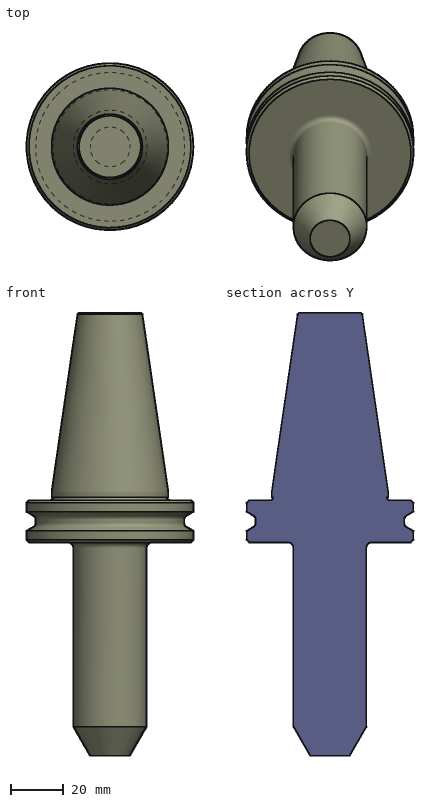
import cadquery as cq
import math

total_length = 168.2

shank_radius = 14.0
tip_length = 11.1
tip_half_angle = math.radians(30)
tip_radius = shank_radius - tip_length * math.tan(tip_half_angle)
shank_fillet = 2.0

flange_radius = 31.75
flange_top = 97.0
flange_thickness = 16.2
flange_bottom = flange_top - flange_thickness
flange_chamfer = 1.0
groove_floor_radius = 28.3
groove_mouth_width = 7.2
groove_flank_angle = math.radians(30)
groove_fillet = 1.3

collar_radius = 22.2
collar_height = 3.0
neck_radius = 21.7
neck_fillet = 1.0
taper_ratio = 7 / 24
taper_start = flange_top + collar_height
taper_end_chamfer = 0.7
taper_end = total_length - taper_end_chamfer
taper_end_radius = collar_radius - (taper_end - taper_start) * taper_ratio / 2


def cylinder(radius, bottom, top):
    """Cylinder on the Z axis between two heights."""
    return cq.Workplane("XY").workplane(offset=bottom).circle(radius).extrude(top - bottom)


def revolve_profile(points):
    """Revolve a closed (radius, height) outline about the Z axis."""
    return cq.Workplane("XZ").polyline(points).close().revolve(360, (0, 0, 0), (0, 1, 0))


def concave_ring(wall_radius, face_height, fillet, direction):
    """Fillet between a cylinder and a flat face; direction is +1 above the face, -1 below it."""
    outer_radius = wall_radius + fillet
    wall_height = face_height + direction * fillet
    arc_depth = fillet * (1 - math.sqrt(0.5))
    arc_middle = (wall_radius + arc_depth, face_height + direction * arc_depth)
    return (
        cq.Workplane("XZ")
        .moveTo(0, face_height)
        .lineTo(outer_radius, face_height)
        .threePointArc(arc_middle, (wall_radius, wall_height))
        .lineTo(0, wall_height)
        .close()
        .revolve(360, (0, 0, 0), (0, 1, 0))
    )


def make_shank():
    """Round shank with a conical tip and a fillet under the flange."""
    body = revolve_profile([
        (0, 0),
        (tip_radius, 0),
        (shank_radius, tip_length),
        (shank_radius, flange_bottom),
        (0, flange_bottom),
    ])
    return body.union(concave_ring(shank_radius, flange_bottom, shank_fillet, -1))


def make_flange():
    """Chamfered disc with a V groove whose floor corners are rounded."""
    disc = cylinder(flange_radius, flange_bottom, flange_top)
    disc = disc.faces("<Z or >Z").edges().chamfer(flange_chamfer)
    groove_middle = (flange_bottom + flange_top) / 2
    mouth_half = groove_mouth_width / 2
    groove_depth = flange_radius - groove_floor_radius
    floor_half = mouth_half - groove_depth * math.tan(groove_flank_angle)
    groove = revolve_profile([
        (flange_radius, groove_middle - mouth_half),
        (groove_floor_radius, groove_middle - floor_half),
        (groove_floor_radius, groove_middle + floor_half),
        (flange_radius, groove_middle + mouth_half),
    ])
    floor_edges = cq.selectors.RadiusNthSelector(0)
    groove = groove.edges("%CIRCLE").edges(floor_edges).fillet(groove_fillet)
    return disc.cut(groove)


def make_taper():
    """Relief neck, collar and tapered cone with a chamfered small end."""
    body = revolve_profile([
        (0, flange_top),
        (neck_radius, flange_top),
        (neck_radius, flange_top + neck_fillet),
        (collar_radius, flange_top + neck_fillet),
        (collar_radius, taper_start),
        (taper_end_radius, taper_end),
        (taper_end_radius - taper_end_chamfer, total_length),
        (0, total_length),
    ])
    return body.union(concave_ring(neck_radius, flange_top, neck_fillet, 1))


result = make_flange().union(make_shank()).union(make_taper())